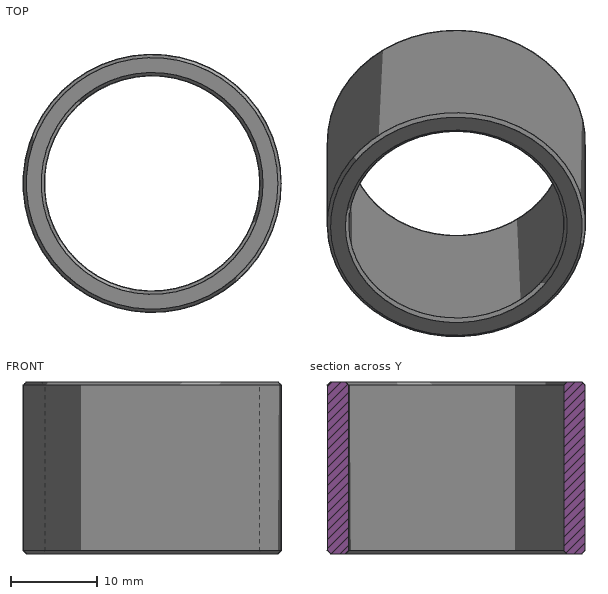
import cadquery as cq

outer_diameter = 30.0
bore_diameter = 25.0
height = 20.0
rim_chamfer = 0.4

sleeve = (
    cq.Workplane("XY")
    .circle(outer_diameter / 2)
    .circle(bore_diameter / 2)
    .extrude(height)
)

result = sleeve.faces("<Z or >Z").edges().chamfer(rim_chamfer)